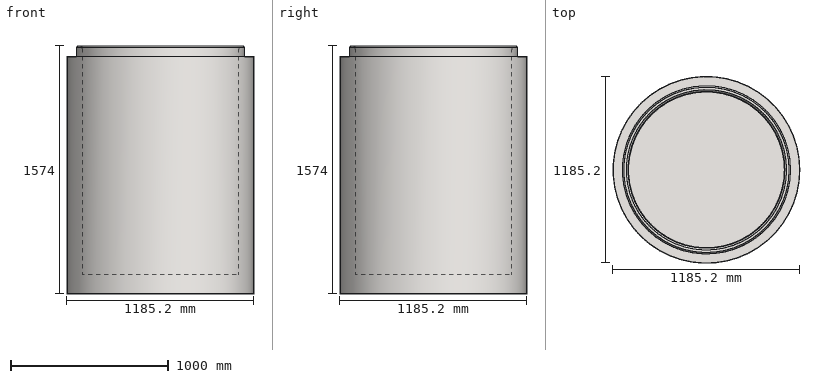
import cadquery as cq

total_height = 1574.0
outer_radius = 592.6
base_height = 123.0

collar_radius = 534.0
collar_height = 70.0
rim_chamfer = 10.0

bore_radius = 495.0
mouth_radius = 497.0
mouth_depth = 70.0
bevel_radius = 508.0
bevel_depth = 10.0

shoulder_z = total_height - collar_height
mouth_z = total_height - mouth_depth


def make_base():
    """Solid disc closing the bottom of the vessel."""
    return cq.Workplane("XY").circle(outer_radius).extrude(base_height)


def make_wall():
    """Revolved wall with the stepped collar and the bevelled, tapered mouth."""
    profile = (
        cq.Workplane("XZ")
        .moveTo(bore_radius, base_height)
        .lineTo(outer_radius, base_height)
        .lineTo(outer_radius, shoulder_z)
        .lineTo(collar_radius, shoulder_z)
        .lineTo(collar_radius, total_height - rim_chamfer)
        .lineTo(collar_radius - rim_chamfer, total_height)
        .lineTo(bevel_radius, total_height)
        .lineTo(mouth_radius, total_height - bevel_depth)
        .lineTo(bore_radius, mouth_z)
        .close()
    )
    return profile.revolve(360, (0, 0, 0), (0, 1, 0))


result = make_base().union(make_wall())